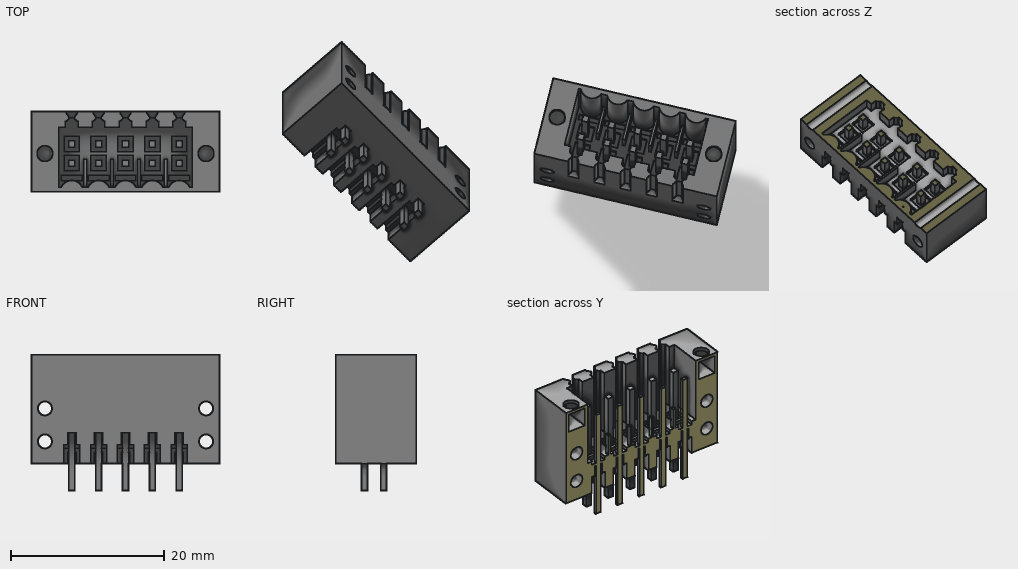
import cadquery as cq

BODY_LENGTH = 24.5
BODY_WIDTH = 10.5
BODY_HEIGHT = 14.2
FRONT_Y = -BODY_WIDTH / 2
BACK_Y = BODY_WIDTH / 2

CONTACT_COUNT = 5
PITCH = 3.5
FRONT_ROW_Y = -1.5
BACK_ROW_Y = 1.0
CONTACT_XS = [(i - (CONTACT_COUNT - 1) / 2) * PITCH for i in range(CONTACT_COUNT)]

PIN_SIZE = 0.8
PIN_TOP_Z = 12.0
PIN_TAIL = 3.5

CAVITY_LENGTH = 17.35
CAVITY_FRONT_Y = FRONT_Y + 0.6
CAVITY_BACK_Y = 3.15
CAVITY_FLOOR_Z = 5.0
GUIDE_RADIUS = 1.5

RECESS_DEPTH = 0.5
PIN_RECESS_SIZE = 2.0
SLOT_RECESS_LENGTH = 2.7
SLOT_RECESS_WIDTH = 0.72
SLOT_RECESS_Y = -3.42

RIB_THICKNESS = 0.35
RIB_BACK_Y = -1.0
RIB_TOP_Z = 8.0

KEY_MOUTH_HALF_WIDTH = 0.82
KEY_FLARE_HALF_WIDTH = 0.7
KEY_WAIST_HALF_WIDTH = 0.37
KEY_MOUTH_END_Y = 3.95
KEY_WAIST_Y = 4.4
KEY_WAIST_FLAT = 0.26
KEY_OUTER_FLARE_Y = 5.0
KEY_OUTER_FLOOR_Z = 7.0

MOUNT_X = 10.5
CROSS_HOLE_DIAMETER = 1.8
CROSS_HOLE_ZS = (2.9, 7.2)
SCREW_HOLE_DIAMETER = 2.05
SCREW_HOLE_Y = -0.25
SCREW_LIP_THICKNESS = 0.5
NUT_POCKET_LENGTH = 2.5
NUT_POCKET_WIDTH = 5.6
NUT_POCKET_HEIGHT = 2.6

RELIEF_NARROW_WIDTH = 1.1
RELIEF_WIDE_WIDTH = 2.1
RELIEF_TOP_Z = 4.0
RELIEF_SHOULDER_Z = 2.5
RELIEF_MIDDLE_Z = 2.0
RELIEF_BACK_Z = 1.5
PIN_CLEARANCE = (RELIEF_NARROW_WIDTH - PIN_SIZE) / 2


def box_between(x_centre, x_size, y_range, z_range):
    """Box centred on x_centre and spanning the given Y and Z ranges."""
    y_low, y_high = y_range
    z_low, z_high = z_range
    return (
        cq.Workplane("XY")
        .box(x_size, y_high - y_low, z_high - z_low, centered=(True, False, False))
        .translate((x_centre, y_low, z_low))
    )


def centred_range(centre, size):
    """Lower and upper limits of a span of the given size about its centre."""
    return (centre - size / 2, centre + size / 2)


def plug_cavity():
    """Rectangular cavity with a round guide column standing before each contact."""
    z_range = (CAVITY_FLOOR_Z, BODY_HEIGHT)
    cavity = box_between(0, CAVITY_LENGTH, (CAVITY_FRONT_Y, CAVITY_BACK_Y), z_range)
    guides = (
        cq.Workplane("XY")
        .workplane(offset=CAVITY_FLOOR_Z)
        .pushPoints([(x, FRONT_Y) for x in CONTACT_XS])
        .circle(GUIDE_RADIUS)
        .extrude(BODY_HEIGHT - CAVITY_FLOOR_Z)
    )
    return cavity.cut(guides)


def keyway(x):
    """Waisted keyway; its outer flare stops above the cavity floor."""
    flat_start_y, flat_end_y = centred_range(KEY_WAIST_Y, KEY_WAIST_FLAT)
    inner_half = [
        (KEY_MOUTH_HALF_WIDTH, CAVITY_BACK_Y),
        (KEY_MOUTH_HALF_WIDTH, KEY_MOUTH_END_Y),
        (KEY_FLARE_HALF_WIDTH, KEY_MOUTH_END_Y),
        (KEY_WAIST_HALF_WIDTH, flat_start_y),
        (KEY_WAIST_HALF_WIDTH, KEY_WAIST_Y),
    ]
    outer_half = [
        (KEY_WAIST_HALF_WIDTH, KEY_WAIST_Y),
        (KEY_WAIST_HALF_WIDTH, flat_end_y),
        (KEY_FLARE_HALF_WIDTH, KEY_OUTER_FLARE_Y),
        (KEY_FLARE_HALF_WIDTH, BACK_Y),
    ]

    def mirrored_prism(half, floor_z):
        mirrored = [(-px, py) for px, py in reversed(half)]
        return (
            cq.Workplane("XY")
            .workplane(offset=floor_z)
            .polyline(half + mirrored)
            .close()
            .extrude(BODY_HEIGHT - floor_z)
        )

    inner = mirrored_prism(inner_half, CAVITY_FLOOR_Z)
    outer = mirrored_prism(outer_half, KEY_OUTER_FLOOR_Z)
    return inner.union(outer).translate((x, 0, 0))


def floor_recesses(x):
    """Square recess around each pin and a slot in front of them."""
    z_range = (CAVITY_FLOOR_Z - RECESS_DEPTH, CAVITY_FLOOR_Z)
    slot_y = centred_range(SLOT_RECESS_Y, SLOT_RECESS_WIDTH)
    recesses = box_between(x, SLOT_RECESS_LENGTH, slot_y, z_range)
    for row_y in (FRONT_ROW_Y, BACK_ROW_Y):
        pin_y = centred_range(row_y, PIN_RECESS_SIZE)
        recesses = recesses.union(box_between(x, PIN_RECESS_SIZE, pin_y, z_range))
    return recesses


def pin_relief(x):
    """Relief that steps down from the front face to just behind the back pin."""
    clear_half = PIN_SIZE / 2 + PIN_CLEARANCE
    front_y = (FRONT_Y, FRONT_ROW_Y + clear_half)
    middle_y = (FRONT_Y, BACK_ROW_Y - clear_half)
    back_y = (FRONT_Y, BACK_ROW_Y + clear_half)
    relief = box_between(x, RELIEF_NARROW_WIDTH, front_y, (0, RELIEF_TOP_Z))
    relief = relief.union(box_between(x, RELIEF_WIDE_WIDTH, front_y, (0, RELIEF_SHOULDER_Z)))
    relief = relief.union(box_between(x, RELIEF_WIDE_WIDTH, middle_y, (0, RELIEF_MIDDLE_Z)))
    return relief.union(box_between(x, RELIEF_NARROW_WIDTH, back_y, (0, RELIEF_BACK_Z)))


def mounting_holes(x):
    """Two cross holes along Y, and a screw hole opening into a nut pocket."""
    pocket_top_z = BODY_HEIGHT - SCREW_LIP_THICKNESS
    pocket_y = centred_range(SCREW_HOLE_Y, NUT_POCKET_WIDTH)
    pocket_z = (pocket_top_z - NUT_POCKET_HEIGHT, pocket_top_z)
    holes = box_between(x, NUT_POCKET_LENGTH, pocket_y, pocket_z)
    screw_hole = (
        cq.Workplane("XY")
        .workplane(offset=pocket_top_z)
        .center(x, SCREW_HOLE_Y)
        .circle(SCREW_HOLE_DIAMETER / 2)
        .extrude(SCREW_LIP_THICKNESS)
    )
    cross_holes = (
        cq.Workplane("XZ", origin=(0, BACK_Y, 0))
        .pushPoints([(x, z) for z in CROSS_HOLE_ZS])
        .circle(CROSS_HOLE_DIAMETER / 2)
        .extrude(BODY_WIDTH)
    )
    return holes.union(screw_hole).union(cross_holes)


def contact_pin(x, y):
    return box_between(x, PIN_SIZE, centred_range(y, PIN_SIZE), (-PIN_TAIL, PIN_TOP_Z))


def dividing_rib(x):
    return box_between(x, RIB_THICKNESS, (CAVITY_FRONT_Y, RIB_BACK_Y), (CAVITY_FLOOR_Z, RIB_TOP_Z))


result = box_between(0, BODY_LENGTH, (FRONT_Y, BACK_Y), (0, BODY_HEIGHT))
result = result.cut(plug_cavity())

for contact_x in CONTACT_XS:
    result = result.cut(keyway(contact_x))
    result = result.cut(floor_recesses(contact_x))
    result = result.cut(pin_relief(contact_x))

for mount_x in (-MOUNT_X, MOUNT_X):
    result = result.cut(mounting_holes(mount_x))

for contact_x in CONTACT_XS:
    for row_y in (FRONT_ROW_Y, BACK_ROW_Y):
        result = result.union(contact_pin(contact_x, row_y))

for contact_x in CONTACT_XS[:-1]:
    result = result.union(dividing_rib(contact_x + PITCH / 2))